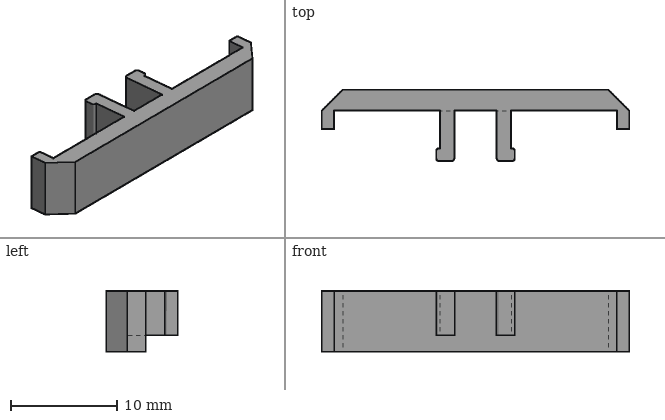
import cadquery as cq

length = 29.0
depth = 6.75
height = 5.75

plate_thickness = 2.0
corner_chamfer = plate_thickness
lip_width = 1.15
lip_depth = 3.75

prong_height = 4.2
prong_inner_x = 1.97
prong_outer_x = 3.35
hook_outer_x = 3.7
hook_length = 1.22
hook_radius = 0.25
tip_inner_radius = 0.32

half_length = length / 2
back_y = depth
plate_front_y = back_y - plate_thickness
lip_front_y = back_y - lip_depth


def make_body():
    """Plate with chamfered back corners and a lip at each end."""
    right_half = [
        (half_length - corner_chamfer, back_y),
        (half_length, back_y - corner_chamfer),
        (half_length, lip_front_y),
        (half_length - lip_width, lip_front_y),
        (half_length - lip_width, plate_front_y),
    ]
    left_half = [(-x, y) for x, y in reversed(right_half)]
    return cq.Workplane("XY").polyline(right_half + left_half).close().extrude(height)


def make_prong():
    """Right-hand prong with an outward hook, flush with the top of the plate."""
    outline = [
        (prong_inner_x, back_y - plate_thickness / 2),
        (prong_inner_x, 0),
        (hook_outer_x, 0),
        (hook_outer_x, hook_length),
        (prong_outer_x, hook_length),
        (prong_outer_x, back_y - plate_thickness / 2),
    ]
    prong = (
        cq.Workplane("XY", origin=(0, 0, height - prong_height))
        .polyline(outline)
        .close()
        .extrude(prong_height)
    )
    prong = prong.edges("|Z and >X").fillet(hook_radius)
    inner_tip = cq.selectors.NearestToPointSelector((prong_inner_x, 0, height - prong_height / 2))
    return prong.edges("|Z").edges(inner_tip).fillet(tip_inner_radius)


right_prong = make_prong()
left_prong = right_prong.mirror("YZ")
result = make_body().union(right_prong).union(left_prong)